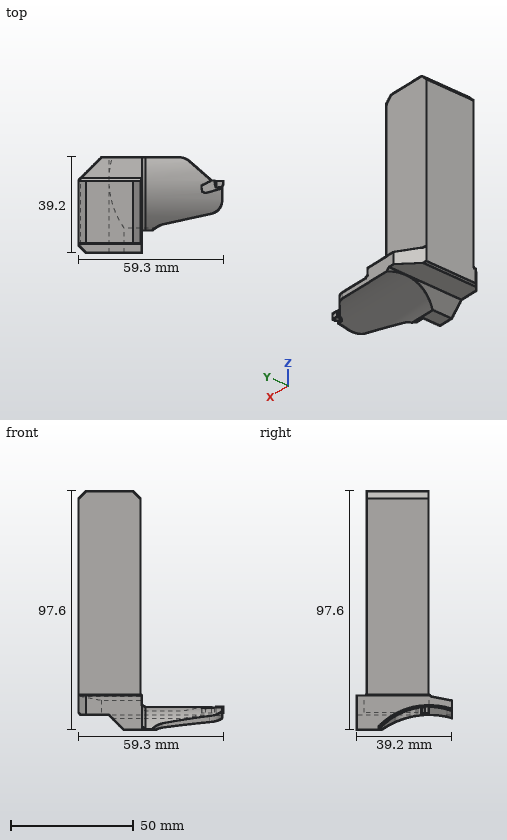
import cadquery as cq

shank_width = 25.4
shank_front = 4.1
shank_back = shank_front + shank_width
total_height = 97.6
shank_chamfer = 3.0

head_width = 26.0
head_depth = 39.2
head_top = 14.1
foot_z = 6.2
foot_length = 12.4
foot_chamfer = 0.9
front_corner = 3.0
back_corner = 9.5
back_ledge_y = 30.6
back_ledge_z = 13.7
back_top_z = 12.0
neck_chamfer = 0.5
neck_top = head_top + neck_chamfer

arc_y = 29.7
lower_radius = 34.2
lower_crest_z = 6.1
upper_radius = 27.8
upper_crest_z = 9.4
root_length = 1.4
root_rise = 0.8
arm_front = 9.1
arm_end = 58.9
arm_front_end = (30.2, arm_front)
front_sweep_mid = (31.9, 10.4)
front_sweep_end = (34.2, 11.5)
nose_start = (53.7, 15.8)
nose_mid = (57.4, 17.8)
nose_end = (arm_end, 21.8)
arm_back_seat = (54.4, 29.7)
shoulder_start = (45.9, 37.1)
shoulder_mid = (43.8, 38.6)
shoulder_end = (41.6, head_depth)

insert_bottom = 6.8
insert_top = 9.2
tip_top = 9.6
tip_end = 59.3
tip_back = 29.5
tip_neck_x = 56.3
tip_neck_y = 26.8
tip_corner = (tip_end, 27.9)
tip_outline = [
    (tip_neck_x, tip_neck_y),
    (tip_neck_x, tip_back),
    (tip_end, tip_back),
    tip_corner,
    (58.7, 26.9),
]
insert_outline = [
    (50.4, 27.5),
    (54.4, 29.6),
    (55.7, 29.7),
    (56.2, tip_neck_y),
    (tip_neck_x, tip_neck_y),
    (tip_neck_x, tip_back),
    (tip_end, tip_back),
    tip_corner,
    (58.7, 26.4),
    (51.9, 24.4),
    (50.5, 25.2),
]


def make_shank():
    block = cq.Workplane("XY").box(shank_width, shank_width, total_height - head_top, centered=False)
    block = block.faces(">Z").edges("|Y").chamfer(shank_chamfer)
    return block.translate((0, shank_front, head_top))


def make_head():
    front_profile = (
        cq.Workplane("XZ")
        .moveTo(foot_chamfer, foot_z)
        .lineTo(foot_length, foot_z)
        .lineTo(foot_length + foot_z, 0)
        .lineTo(head_width, 0)
        .lineTo(head_width, head_top)
        .lineTo(shank_width, neck_top)
        .lineTo(0, neck_top)
        .lineTo(0, foot_z + foot_chamfer)
        .close()
        .extrude(-head_depth)
    )
    side_profile = (
        cq.Workplane("YZ")
        .moveTo(0, 0)
        .lineTo(head_depth, 0)
        .lineTo(head_depth, back_top_z)
        .lineTo(back_ledge_y, back_ledge_z)
        .lineTo(shank_back, neck_top)
        .lineTo(shank_front, neck_top)
        .lineTo(shank_front - neck_chamfer, head_top)
        .lineTo(0, head_top)
        .close()
        .extrude(head_width)
    )
    plan = (
        cq.Workplane("XY")
        .moveTo(front_corner, 0)
        .lineTo(head_width, 0)
        .lineTo(head_width, head_depth)
        .lineTo(back_corner, head_depth)
        .lineTo(0, head_depth - back_corner)
        .lineTo(0, front_corner)
        .close()
        .extrude(neck_top)
    )
    return front_profile.intersect(side_profile).intersect(plan)


def make_arm():
    plan = (
        cq.Workplane("XY")
        .moveTo(shank_width, arm_front)
        .lineTo(*arm_front_end)
        .threePointArc(front_sweep_mid, front_sweep_end)
        .lineTo(*nose_start)
        .threePointArc(nose_mid, nose_end)
        .lineTo(arm_end, tip_neck_y)
        .lineTo(tip_neck_x, tip_neck_y)
        .lineTo(*arm_back_seat)
        .lineTo(*shoulder_start)
        .threePointArc(shoulder_mid, shoulder_end)
        .lineTo(shank_width, head_depth)
        .close()
        .extrude(head_top)
    )
    root_end = head_width + root_length
    crown = (
        cq.Workplane("XY")
        .moveTo(shank_width, 0)
        .lineTo(shank_width, upper_radius + root_rise)
        .lineTo(head_width, upper_radius + root_rise)
        .lineTo(root_end, upper_radius)
        .lineTo(tip_end, upper_radius)
        .lineTo(tip_end, 0)
        .close()
        .revolve(360, (0, 0), (1, 0))
        .translate((0, arc_y, upper_crest_z - upper_radius))
    )
    return plan.intersect(crown)


def make_underside_cut():
    """Clearance arc beneath both the head and the arm."""
    return (
        cq.Workplane("YZ")
        .center(arc_y, lower_crest_z - lower_radius)
        .circle(lower_radius)
        .extrude(tip_end)
    )


def insert_prism(outline, top):
    """Extrude an insert outline from the pocket floor up to the given height."""
    prism = cq.Workplane("XY").polyline(outline).close().extrude(top - insert_bottom)
    return prism.translate((0, 0, insert_bottom))


def make_insert():
    """Low body with a raised cutting tip."""
    body = insert_prism(insert_outline, insert_top)
    return body.union(insert_prism(tip_outline, tip_top))


holder = make_head().union(make_shank()).union(make_arm()).cut(make_underside_cut())
holder = holder.cut(insert_prism(insert_outline, head_top))
insert = make_insert()

result = cq.Compound.makeCompound([holder.solids().val(), insert.solids().val()])